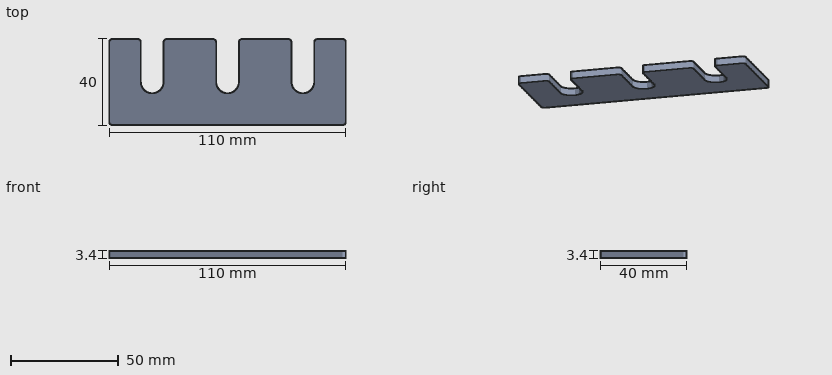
import cadquery as cq

length = 110.0
depth = 40.0
thickness = 3.4
corner_radius = 1.5

slot_count = 3
slot_pitch = 35.0
slot_width = 10.5
slot_depth = 25.2
slot_radius = slot_width / 2

back_edge = depth / 2
slot_end_center = back_edge - slot_depth + slot_radius


def open_slot(x):
    """Cutter for a round-ended slot that opens through the back edge."""
    return (
        cq.Workplane("XY")
        .moveTo(x - slot_radius, back_edge)
        .lineTo(x - slot_radius, slot_end_center)
        .threePointArc((x, slot_end_center - slot_radius), (x + slot_radius, slot_end_center))
        .lineTo(x + slot_radius, back_edge)
        .close()
        .extrude(thickness)
    )


plate = cq.Workplane("XY").box(length, depth, thickness, centered=(True, True, False))

for index in range(slot_count):
    slot_x = (index - (slot_count - 1) / 2) * slot_pitch
    plate = plate.cut(open_slot(slot_x))

front_corners = plate.faces("<Y").edges("|Z")
back_corners = plate.faces(">Y").edges("|Z")
result = plate.newObject(front_corners.vals() + back_corners.vals()).fillet(corner_radius)